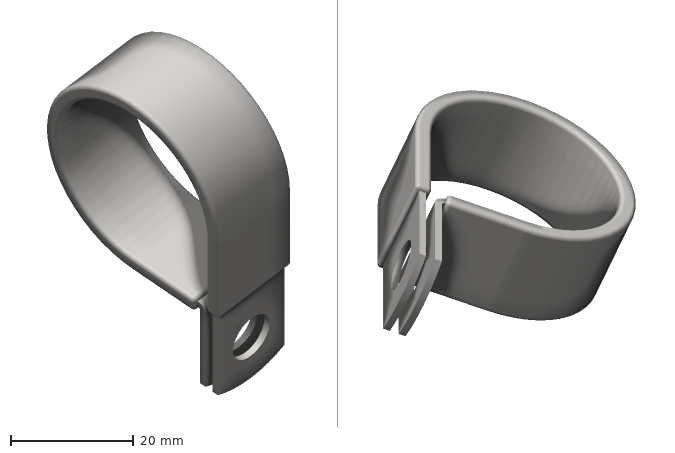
import cadquery as cq
import math

overall_height = 57.5
loop_outer_radius = 19.465
cushion_thickness = 2.8
cushion_width = 17.5
cushion_edge_radius = 0.75
cushion_inner_cover = 0.75
flat_leg_length = 14.05
upright_leg_length = 17.4

strap_thickness = 1.2
strap_width = 15.8
bend_inner_radius = 0.6
bent_tab_outer_x = 15.8
tab_end_sagitta = 1.8
bolt_hole_diameter = 8.7
bolt_hole_edge_distance = 9.55

loop_inner_radius = loop_outer_radius - cushion_thickness
strap_inner_radius = loop_inner_radius + cushion_inner_cover
strap_outer_radius = strap_inner_radius + strap_thickness
tab_bottom = loop_outer_radius - overall_height
diagonal = math.sqrt(0.5)


def band(inner_radius, outer_radius, flat_end, upright_end, width):
    """Three-quarter loop with a flat lower leg and an upright right leg."""
    return (
        cq.Workplane("XZ")
        .moveTo(outer_radius, upright_end)
        .lineTo(outer_radius, 0)
        .threePointArc((-outer_radius * diagonal, outer_radius * diagonal), (0, -outer_radius))
        .lineTo(flat_end, -outer_radius)
        .lineTo(flat_end, -inner_radius)
        .lineTo(0, -inner_radius)
        .threePointArc((-inner_radius * diagonal, inner_radius * diagonal), (inner_radius, 0))
        .lineTo(inner_radius, upright_end)
        .close()
        .extrude(width / 2, both=True)
    )


def bent_tab():
    """Lower tab turned down through a right angle from the flat leg."""
    bend_outer_radius = bend_inner_radius + strap_thickness
    bend_x = bent_tab_outer_x - bend_outer_radius
    bend_z = -strap_inner_radius - bend_outer_radius
    tab_inner_x = bent_tab_outer_x - strap_thickness
    return (
        cq.Workplane("XZ")
        .moveTo(0, -strap_inner_radius)
        .lineTo(bend_x, -strap_inner_radius)
        .threePointArc(
            (bend_x + bend_outer_radius * diagonal, bend_z + bend_outer_radius * diagonal),
            (bent_tab_outer_x, bend_z),
        )
        .lineTo(bent_tab_outer_x, tab_bottom)
        .lineTo(tab_inner_x, tab_bottom)
        .lineTo(tab_inner_x, bend_z)
        .threePointArc(
            (bend_x + bend_inner_radius * diagonal, bend_z + bend_inner_radius * diagonal),
            (bend_x, -strap_outer_radius),
        )
        .lineTo(0, -strap_outer_radius)
        .close()
        .extrude(strap_width / 2, both=True)
    )


def tab_profile():
    """Block spanning both tabs, with the curved lower end and the bolt hole."""
    half_width = strap_width / 2
    corner_z = tab_bottom + tab_end_sagitta
    outline = (
        cq.Workplane("YZ")
        .moveTo(-half_width, loop_outer_radius)
        .lineTo(-half_width, corner_z)
        .threePointArc((0, tab_bottom), (half_width, corner_z))
        .lineTo(half_width, loop_outer_radius)
        .close()
        .extrude(loop_outer_radius, both=True)
    )
    hole = (
        cq.Workplane("YZ")
        .center(0, tab_bottom + bolt_hole_edge_distance)
        .circle(bolt_hole_diameter / 2)
        .extrude(loop_outer_radius)
    )
    return outline.cut(hole)


cushion = band(
    loop_inner_radius, loop_outer_radius, flat_leg_length, -upright_leg_length, cushion_width
)
side_edges = cushion.faces("<Y or >Y").edges()
flat_end_edges = cushion.faces(cq.selectors.NearestToPointSelector(
    (flat_leg_length, 0, -loop_inner_radius - cushion_thickness / 2))).edges("|Y")
upright_end_edges = cushion.faces(cq.selectors.NearestToPointSelector(
    (loop_inner_radius + cushion_thickness / 2, 0, -upright_leg_length))).edges("|Y")
cushion = side_edges.add(flat_end_edges).add(upright_end_edges).fillet(cushion_edge_radius)

strap = band(strap_inner_radius, strap_outer_radius, flat_leg_length / 2, tab_bottom, strap_width)
strap = strap.union(bent_tab()).intersect(tab_profile())

result = cushion.union(strap)